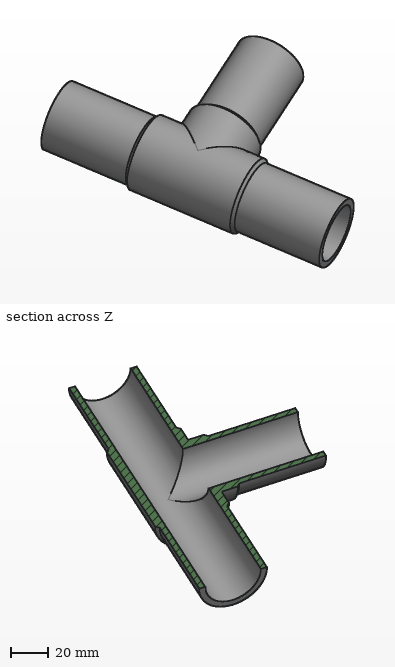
import cadquery as cq

overall_length = 168.0
arm_length = overall_length / 2
pipe_diameter = 40.0
body_diameter = 43.7
bore_diameter = 32.6
body_reach = 33.0

pipe_radius = pipe_diameter / 2
body_radius = body_diameter / 2
bore_radius = bore_diameter / 2
chamfer = body_radius - pipe_radius


def rod(plane, radius, length):
    """Cylinder running from the origin along the plane's normal."""
    return cq.Workplane(plane).circle(radius).extrude(length)


def arm(plane):
    """Solid arm: thick body with a chamfered end, then the thinner pipe."""
    body = rod(plane, body_radius, body_reach)
    outer_end = cq.Plane.named(plane).zDir
    body = body.faces(cq.selectors.DirectionMinMaxSelector(outer_end, True)).chamfer(chamfer)
    return body.union(rod(plane, pipe_radius, arm_length))


run = arm("YZ").union(arm("ZY"))

tee = run.union(arm("ZX"))

run_bore = rod("YZ", bore_radius, arm_length).union(rod("ZY", bore_radius, arm_length))
branch_bore = rod("ZX", bore_radius, arm_length)

result = tee.cut(run_bore).cut(branch_bore)